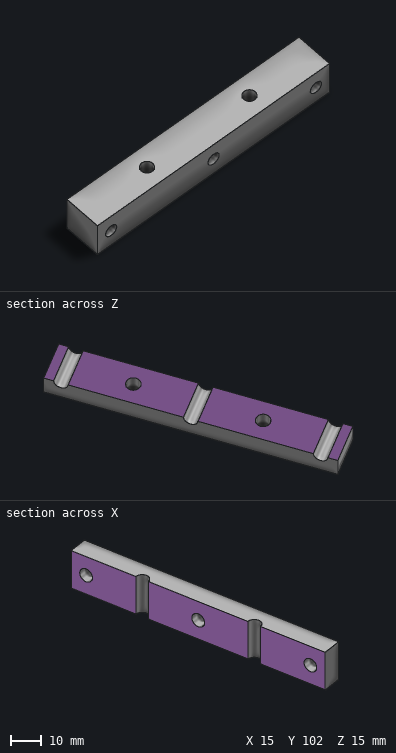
import cadquery as cq

bar_length = 102.0
bar_side = 15.0

hole_diameter = 4.9
hole_pitch = 45.0
cross_hole_count = 3
vertical_hole_count = 2


def hole_row(plane, count):
    """Row of bar-piercing cylinders spaced along Y, normal to the given plane."""
    middle = (count - 1) / 2
    centres = [((i - middle) * hole_pitch, 0) for i in range(count)]
    return (
        cq.Workplane(plane)
        .pushPoints(centres)
        .circle(hole_diameter / 2)
        .extrude(bar_side, both=True)
    )


bar = cq.Workplane("XY").box(bar_side, bar_length, bar_side)

cross_holes = hole_row("YZ", cross_hole_count)
vertical_holes = hole_row("YX", vertical_hole_count)

result = bar.cut(cross_holes).cut(vertical_holes)